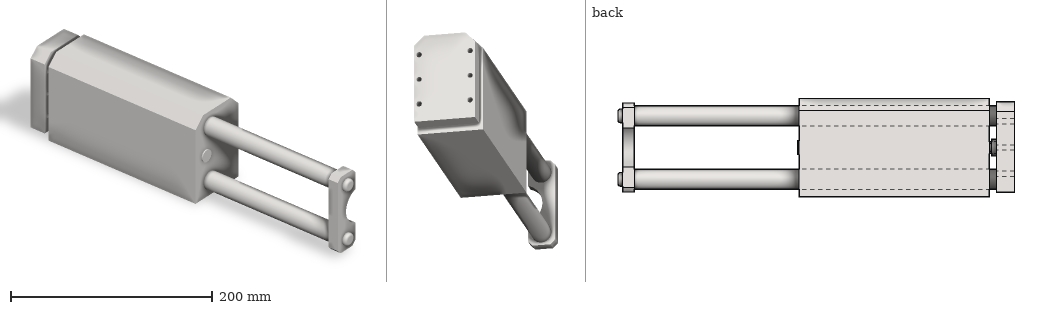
import cadquery as cq


total_length = 394.5
front_plate_thickness = 18.0
gap = 7.0
housing_start = front_plate_thickness + gap
housing_length = 189.0
housing_end = housing_start + housing_length
rear_plate_thickness = 12.0
rod_cap_length = 4.7
rear_plate_end = total_length - rod_cap_length
rear_plate_start = rear_plate_end - rear_plate_thickness

housing_width = 67.0
housing_height = 98.0
housing_chamfer = 12.0

rod_diameter = 20.0
rod_spacing = 63.0
rod_y = -10.5
rod_heights = [rod_spacing / 2, -rod_spacing / 2]
rod_cap_diameter = 14.0
rod_cap_rounding = 2.8

front_plate_width = 62.0
front_plate_height = 90.5
front_plate_chamfer = 10.0
front_plate_inset = 3.0
front_plate_top = housing_height / 2 - front_plate_inset
hole_spacing_y = 52.0
hole_spacing_z = 26.0
corner_hole_diameter = 5.5
middle_hole_diameter = 5.0

rear_plate_width = 27.5
rear_plate_height = 88.8
rear_plate_chamfer = 4.7
notch_diameter = 40.2

stop_y = 8.5
stop_head_diameter = 17.0
stop_head_length = 4.7
stop_neck_diameter = 8.0
piston_rod_diameter = 12.0
piston_rod_y = -15.8
boss_diameter = 14.0
boss_length = 1.5
boss_y = -17.5


def cylinder(diameter, start, end, y, z):
    """Round bar along X from start to end, centred on (y, z)."""
    return (
        cq.Workplane("YZ", origin=(start, y, z))
        .circle(diameter / 2)
        .extrude(end - start)
    )


def block(start, length, width, height, y, z):
    """Rectangular block that starts at one X station, centred on (y, z)."""
    return cq.Workplane("YZ", origin=(start, y, z)).rect(width, height).extrude(length)


def make_housing():
    housing = block(housing_start, housing_length, housing_width, housing_height, 0, 0)
    housing = housing.faces(">Z").edges("|X").chamfer(housing_chamfer)
    boss = cylinder(boss_diameter, housing_end, housing_end + boss_length, boss_y, 0)
    housing = housing.union(boss)
    for z in rod_heights:
        housing = housing.cut(cylinder(rod_diameter, housing_start, housing_end, rod_y, z))
    return housing


def make_front_plate():
    plate_z = front_plate_top - front_plate_height / 2
    plate = block(0, front_plate_thickness, front_plate_width, front_plate_height, 0, plate_z)
    plate = plate.faces(">Z").edges("|X").chamfer(front_plate_chamfer)
    for side in (-1, 1):
        y = side * hole_spacing_y / 2
        for row in (-1, 0, 1):
            diameter = middle_hole_diameter if row == 0 else corner_hole_diameter
            z = row * hole_spacing_z
            plate = plate.cut(cylinder(diameter, 0, front_plate_thickness, y, z))
    return plate


def make_rear_plate():
    plate = block(
        rear_plate_start, rear_plate_thickness, rear_plate_width, rear_plate_height, rod_y, 0
    )
    plate = plate.edges("|X").chamfer(rear_plate_chamfer)
    return plate.cut(cylinder(notch_diameter, rear_plate_start, rear_plate_end, stop_y, 0))


def make_rod(z):
    """Guide rod between the end plates, with a rounded cap behind the rear plate."""
    rod = cylinder(rod_diameter, front_plate_thickness, rear_plate_start, rod_y, z)
    cap = cylinder(rod_cap_diameter, rear_plate_end, total_length, rod_y, z)
    cap = cap.faces(">X").edges().fillet(rod_cap_rounding)
    return rod.union(cap)


def make_slide():
    slide = make_front_plate().union(make_rear_plate())
    for z in rod_heights:
        slide = slide.union(make_rod(z))
    head_end = front_plate_thickness + stop_head_length
    stop_head = cylinder(stop_head_diameter, front_plate_thickness, head_end, stop_y, 0)
    stop_neck = cylinder(stop_neck_diameter, head_end, housing_start, stop_y, 0)
    piston_rod = cylinder(piston_rod_diameter, front_plate_thickness, housing_start, piston_rod_y, 0)
    return slide.union(stop_head).union(stop_neck).union(piston_rod)


housing = make_housing()
slide = make_slide()
result = cq.Compound.makeCompound([housing.val(), slide.val()])